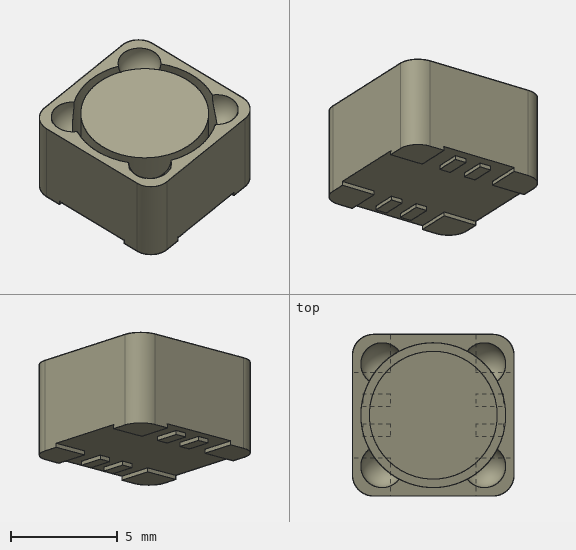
import cadquery as cq

side = 7.6
height = 4.45
corner_radius = 1.0
foot_height = 0.2
foot_gap = 4.0
floor_thickness = 0.5

bore_diameter = 6.8
core_diameter = 6.005
bore_floor_z = foot_height + floor_thickness
bore_depth = height - bore_floor_z

pocket_radius = 1.0
pocket_offset = bore_diameter / 2 - pocket_radius

terminal_width = 0.6
terminal_spacing = 1.405
terminal_inset = 0.5
terminal_outer_x = side / 2 - terminal_inset
terminal_inner_x = foot_gap / 2
terminal_length = terminal_outer_x - terminal_inner_x
terminal_x = (terminal_outer_x + terminal_inner_x) / 2


def upright_box(length, width, tall):
    """Box centred on the Z axis, standing on Z = 0."""
    return cq.Workplane("XY").box(length, width, tall, centered=(True, True, False))


def make_housing():
    body = upright_box(side, side, height).edges("|Z").fillet(corner_radius)

    body = body.cut(upright_box(side, foot_gap, foot_height))
    body = body.cut(upright_box(foot_gap, side, foot_height))

    bore = cq.Workplane("XY").workplane(offset=bore_floor_z).circle(bore_diameter / 2).extrude(bore_depth)
    body = body.cut(bore)

    for x_sign in (-1, 1):
        for y_sign in (-1, 1):
            center = (x_sign * pocket_offset, y_sign * pocket_offset, height)
            body = body.cut(cq.Workplane("XY").sphere(pocket_radius).translate(center))
    return body


def make_core():
    return cq.Workplane("XY").workplane(offset=bore_floor_z).circle(core_diameter / 2).extrude(bore_depth)


def make_terminal(x_sign, y_sign):
    terminal = upright_box(terminal_length, terminal_width, foot_height)
    return terminal.translate((x_sign * terminal_x, y_sign * terminal_spacing / 2, 0))


housing = make_housing()
core = make_core()
terminals = [make_terminal(x_sign, y_sign) for x_sign in (-1, 1) for y_sign in (-1, 1)]

result = cq.Compound.makeCompound(
    [housing.val(), core.val(), *[terminal.val() for terminal in terminals]]
)